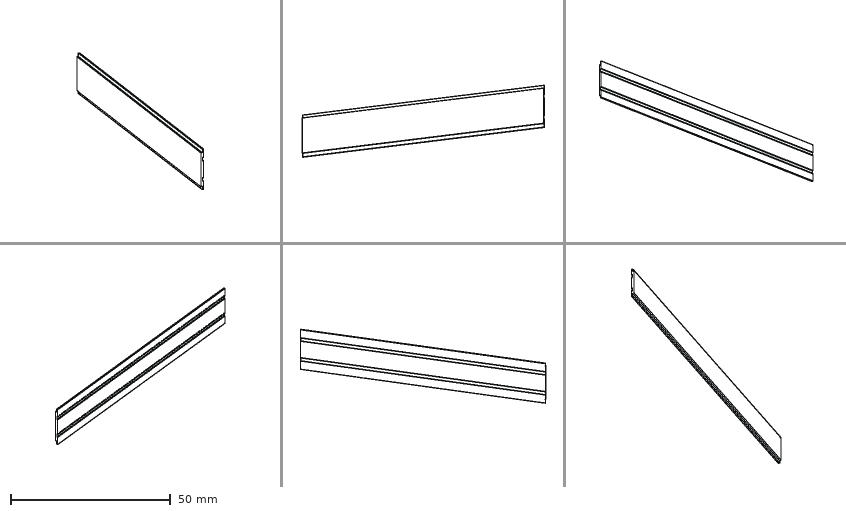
import cadquery as cq

length = 80.0
thickness = 1.0
height = 14.0

lip_height = 1.1
lip_thickness = thickness / 2

groove_width = 1.1
groove_depth = 0.3
groove_offset = 3.5

back_y = thickness / 2


def bar_at_back(depth, bar_height, center_z):
    """Full-length bar reaching forward from the back face by the given depth."""
    bar = cq.Workplane("XY").box(length, depth, bar_height)
    return bar.translate((0, back_y - depth / 2, center_z))


lip_sheet = bar_at_back(lip_thickness, height, 0)
body = bar_at_back(thickness, height - 2 * lip_height, 0)
result = lip_sheet.union(body)

for side in (-1, 1):
    groove = bar_at_back(groove_depth, groove_width, side * groove_offset)
    result = result.cut(groove)